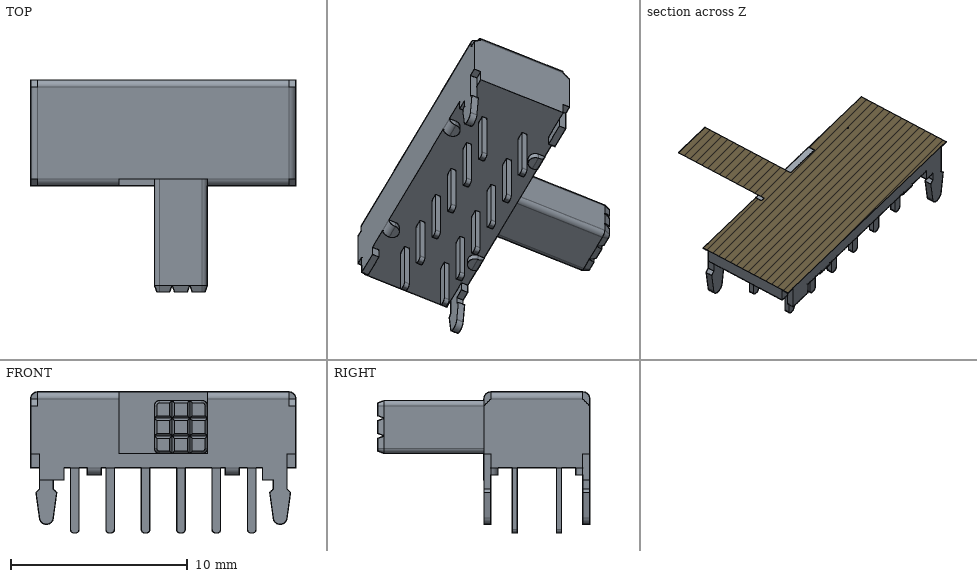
import cadquery as cq
import math


length = 15.0
depth = 6.0
total_height = 8.0

case_height = 4.3
sheet = 0.4
half_length = length / 2
half_depth = depth / 2
corner_notch_drop = 2 * sheet
side_inset = 0.5
foot_top = 0.8

lever_side = length / 5
lever_reach = 6.0
lever_radius = 0.3
window_width = length / 3
window_drop = 3.5
lever_x = (window_width - lever_side) / 2
lever_z = case_height - window_drop + lever_side / 2
grip_count = 3
grip_height = 0.38
grip_angle = 20.0

foot_width = 1.4
foot_bottom = -0.69
snap_width = 0.8
snap_barb = 0.2
barb_top = -1.2
barb_widest = -1.4
tip_bottom = -3.2
tip_start = -2.82

tab_x = 3.9
tab_radius = 0.4

pin_columns = 6
pin_row_length = 10.0
pin_pitch = pin_row_length / (pin_columns - 1)
pin_row_spacing = 2.5
pin_width = 0.5
pin_thickness = 0.3
pin_tip_radius = 0.21


def box(x_range, y_range, z_range):
    """Block spanning the given X, Y and Z ranges."""
    size = [high - low for low, high in (x_range, y_range, z_range)]
    return cq.Workplane("XY").box(*size, centered=False).translate((x_range[0], y_range[0], z_range[0]))


def turned(shape):
    """Copy of a shape turned half a turn about the vertical axis."""
    return shape.rotate((0, 0, 0), (0, 0, 1), 180)


def four_corners(shape):
    """A shape from the front left corner joined with its copies at the other three."""
    pair = shape.union(shape.mirror("YZ"))
    return pair.union(pair.mirror("XZ"))


def corner_notch():
    """Open corner between two rolled top edges, with a floor sloping outwards."""
    outer_y = -half_depth
    inner_y = outer_y + sheet
    profile = [
        (outer_y, case_height),
        (inner_y, case_height),
        (inner_y, case_height - sheet),
        (outer_y, case_height - corner_notch_drop),
    ]
    return cq.Workplane("YZ").polyline(profile).close().extrude(sheet).translate((-half_length, 0, 0))


def case():
    body = box((-half_length, half_length), (-half_depth, half_depth), (0, case_height))
    body = body.faces(">Z").edges().fillet(sheet)
    body = body.cut(four_corners(corner_notch()))
    step = box(
        (-half_length, -half_length + side_inset),
        (-half_depth, -half_depth + sheet),
        (0, foot_top),
    )
    body = body.cut(four_corners(step))
    window = box(
        (-window_width / 2, window_width / 2),
        (-half_depth, -half_depth + sheet),
        (case_height - window_drop, case_height),
    )
    return body.cut(window)


def grip_groove(angle):
    """V-groove across the lever end, centred on the lever axis and turned about it."""
    tip_y = -half_depth - lever_reach
    half_width = grip_height * math.tan(math.radians(grip_angle))
    profile = [(-half_width, tip_y), (half_width, tip_y), (0, tip_y + grip_height)]
    groove = cq.Workplane("XY").polyline(profile).close().extrude(lever_side, both=True)
    return groove.rotate((0, 0, 0), (0, 1, 0), angle)


def lever():
    root_y = -half_depth + sheet
    shaft_end_y = -half_depth - lever_reach + grip_height
    shaft = cq.Workplane("XZ", origin=(0, root_y, 0)).rect(lever_side, lever_side)
    shaft = shaft.extrude(root_y - shaft_end_y).edges("|Y").fillet(lever_radius)
    grip = shaft.faces("<Y").wires().toPending().workplane().extrude(grip_height, taper=grip_angle)
    pitch = lever_side / grip_count
    for i in range(1, grip_count):
        offset = i * pitch - lever_side / 2
        grip = grip.cut(grip_groove(0).translate((offset, 0, 0)))
        grip = grip.cut(grip_groove(90).translate((0, 0, offset)))
    return grip.translate((lever_x, 0, lever_z))


def foot():
    """Flat foot at the front left corner."""
    left = -half_length + side_inset
    return box((left, left + foot_width), (-half_depth, -half_depth + sheet), (foot_bottom, foot_top))


def snap_leg():
    """Barbed leg below the front right foot."""
    centre_x = half_length - side_inset - snap_width / 2
    half_width = snap_width / 2
    barb = half_width + snap_barb
    outline = (
        cq.Workplane("XZ", origin=(centre_x, -half_depth + sheet, 0))
        .moveTo(-half_width, foot_bottom)
        .lineTo(-half_width, barb_top)
        .lineTo(-barb, barb_widest)
        .lineTo(-half_width, tip_start)
        .threePointArc((0, tip_bottom), (half_width, tip_start))
        .lineTo(barb, barb_widest)
        .lineTo(half_width, barb_top)
        .lineTo(half_width, foot_bottom)
        .close()
    )
    return outline.extrude(sheet)


def locating_tab():
    """Round-ended tab bent inwards from the front sheet."""
    inner_y = -half_depth + sheet
    bend = cq.Workplane("YZ").center(inner_y, 0).circle(sheet).extrude(tab_radius, both=True)
    bend = bend.intersect(box((-tab_radius, tab_radius), (-half_depth, inner_y), (-sheet, 0)))
    end = cq.Workplane("XY").center(0, inner_y).circle(tab_radius).extrude(-sheet)
    end = end.intersect(box((-tab_radius, tab_radius), (inner_y, 0), (-sheet, 0)))
    return bend.union(end).translate((-tab_x, 0, 0))


def pin():
    pin_length = total_height - case_height
    blade = cq.Workplane("XY").rect(pin_width, pin_thickness).extrude(-pin_length)
    return blade.faces("<Z").edges("|Y").fillet(pin_tip_radius)


result = case().union(lever())
result = result.union(four_corners(foot()))
result = result.union(snap_leg()).union(turned(snap_leg()))
result = result.union(four_corners(locating_tab()))
for column in range(pin_columns):
    pin_x = column * pin_pitch - pin_row_length / 2
    for pin_y in (-pin_row_spacing / 2, pin_row_spacing / 2):
        result = result.union(pin().translate((pin_x, pin_y, 0)))